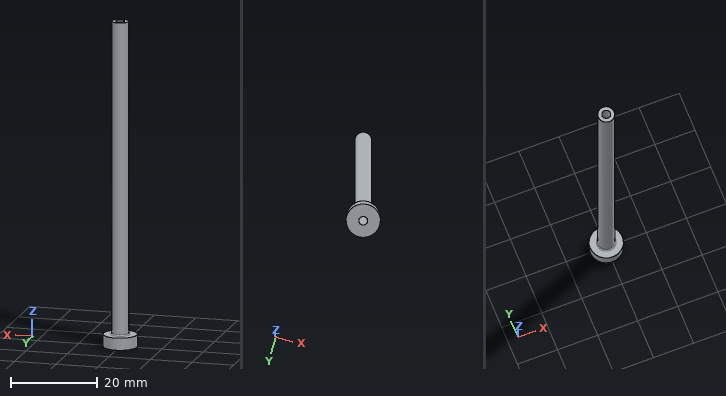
import cadquery as cq

total_length = 78.0
head_diameter = 8.0
head_height = 3.0
shaft_diameter = 4.0
bore_diameter = 2.0
neck_fillet = 0.3

shaft_radius = shaft_diameter / 2
head_radius = head_diameter / 2
bore_radius = bore_diameter / 2

half_section = (
    cq.Workplane("XZ")
    .moveTo(bore_radius, 0)
    .lineTo(head_radius, 0)
    .lineTo(head_radius, head_height)
    .lineTo(shaft_radius + neck_fillet, head_height)
    .radiusArc((shaft_radius, head_height + neck_fillet), neck_fillet)
    .lineTo(shaft_radius, total_length)
    .lineTo(bore_radius, total_length)
    .close()
)

result = half_section.revolve(360, (0, 0, 0), (0, 1, 0))